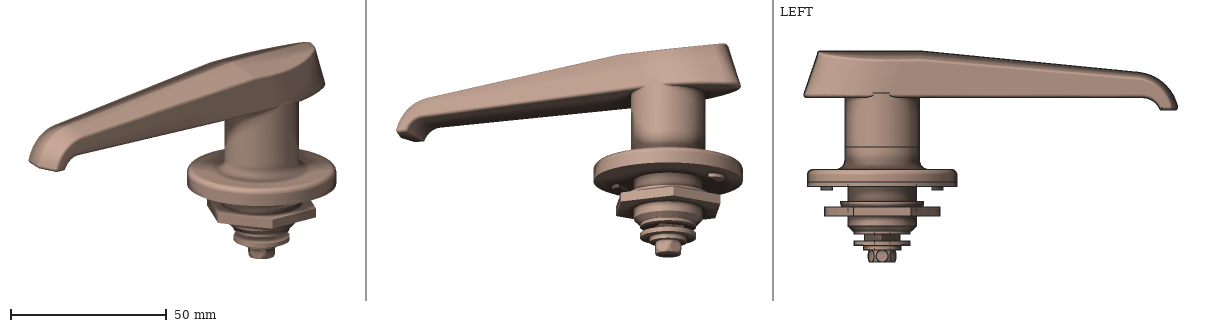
import cadquery as cq
import math


GASKET_THICKNESS = 1.4
FLANGE_RADIUS = 24.0
FLANGE_TOP = 5.5
FLANGE_ROUND = 1.8
NECK_RADIUS = 12.0
NECK_FILLET = 2.9
NECK_TOP = 12.7

BARREL_RADIUS = 11.0
BARREL_BOTTOM = -14.3
BARREL_CHAMFER = 1.7

LUG_RADIUS = 3.6
LUG_HEIGHT = 1.1
LUG_DISTANCE = 16.0

NUT_TOP = -6.5
NUT_THICKNESS = 3.0
NUT_ACROSS_FLATS = 32.0
LOCK_WASHER_RADIUS = 13.3
LOCK_WASHER_THICKNESS = 1.8
LOCK_WASHER_RIM = 0.7
LOCK_WASHER_TAPER = 0.2

COLLAR_RADIUS = 9.0
COLLAR_THICKNESS = 1.0
SQUARE_SIDE = 8.0
SPINDLE_BOTTOM = -17.4

WASHER_RADIUS = 9.0
WASHER_THICKNESS = 1.4
SPRING_WASHER_RADIUS = 6.0
SPRING_WASHER_THICKNESS = 1.4
SCREW_HEAD_HEIGHT = 4.0
SCREW_ACROSS_FLATS = 8.2
SCREW_FACET_RADIUS = 1.9
SHANK_RADIUS = 2.5
WASHER_BOTTOM = SPINDLE_BOTTOM - WASHER_THICKNESS
SCREW_HEAD_TOP = WASHER_BOTTOM - SPRING_WASHER_THICKNESS

SHARP_LENGTH = 120.6
UNDERSIDE = 28.5
RIDGE = 43.5
RIDGE_BEND_Y = -12.6
RIDGE_SLOPE = math.radians(5.6)
ROOF_SLOPE = math.radians(14)
TIP_CENTRE_Y = -80.8
TIP_RADIUS = 14.5
TIP_BOTTOM = 24.6
TIP_HOLLOW_RADIUS = 6.0
TIP_HOLLOW_START_Y = -83.6
NOSE_RADIUS = 5.8
NOSE_LEAN = 0.33
SIDE_LEAN = 0.24
SIDE_DRAFT = 0.02
WIDEST_HALF_WIDTH = 11.8
WIDEST_Y = -2.5
GRIP_TAPER = 0.052
RIM_ROUND = 1.0
NECK_OVERLAP = 1.4

SLOPE_COS = math.cos(RIDGE_SLOPE)
SLOPE_SIN = math.sin(RIDGE_SLOPE)
TIP_CENTRE_Z = RIDGE + ((TIP_CENTRE_Y - RIDGE_BEND_Y) * SLOPE_SIN - TIP_RADIUS) / SLOPE_COS


def tip_end_y(radius):
    """Y where a tip arc of this radius reaches the bottom of the tip."""
    return TIP_CENTRE_Y - math.sqrt(radius**2 - (TIP_BOTTOM - TIP_CENTRE_Z) ** 2)


NOSE_Y = tip_end_y(TIP_RADIUS) + SHARP_LENGTH
OVERRUN = 1.2
ON_CENTRE_PLANE = 0.01
FACING_UP_OR_DOWN = 0.5


def disc(radius, bottom, top):
    return cq.Workplane("XY").workplane(offset=bottom).circle(radius).extrude(top - bottom)


def hexagon(across_flats, bottom, top):
    """Hexagonal prism with two of its flats facing +X and -X."""
    corner_diameter = across_flats / math.cos(math.radians(30))
    prism = cq.Workplane("XY").workplane(offset=bottom).polygon(6, corner_diameter).extrude(top - bottom)
    return prism.rotate((0, 0, 0), (0, 0, 1), 30)


def wall_outline(z):
    """Pointed-arch outline of the handle walls at height z; it leans towards -Y as it rises."""
    rise = z - UNDERSIDE
    half_width = WIDEST_HALF_WIDTH - SIDE_DRAFT * rise
    side_y = WIDEST_Y - SIDE_LEAN * rise
    end_y = tip_end_y(TIP_RADIUS) - OVERRUN
    end_half_width = half_width - GRIP_TAPER * (side_y - end_y)

    nose_y = NOSE_Y - NOSE_LEAN * rise
    nose_centre = cq.Vector(0, nose_y - NOSE_RADIUS)
    side = cq.Vector(half_width, side_y)
    inward = cq.Vector(-1, GRIP_TAPER).normalized()
    reach = nose_centre - side
    side_radius = (reach.dot(reach) - NOSE_RADIUS**2) / (2 * (reach.dot(inward) - NOSE_RADIUS))
    side_centre = side + inward * side_radius
    seam = side_centre + (nose_centre - side_centre).normalized() * side_radius
    middle = side_centre + ((side + seam) * 0.5 - side_centre).normalized() * side_radius

    return (
        cq.Workplane("XY")
        .workplane(offset=z)
        .moveTo(end_half_width, end_y)
        .lineTo(side.x, side.y)
        .threePointArc((middle.x, middle.y), (seam.x, seam.y))
        .threePointArc((0, nose_y), (-seam.x, seam.y))
        .threePointArc((-middle.x, middle.y), (-side.x, side.y))
        .lineTo(-end_half_width, end_y)
        .close()
        .val()
    )


def side_profile(x):
    """Profile of the handle in the plane at x, its top edge lower the further it is from the ridge."""
    drop = x * math.tan(ROOF_SLOPE)
    radius = TIP_RADIUS - drop
    back_y = NOSE_Y + OVERRUN
    end_y = tip_end_y(radius)
    end_angle = math.atan2(TIP_BOTTOM - TIP_CENTRE_Z, end_y - TIP_CENTRE_Y)
    start_angle = math.pi / 2 + RIDGE_SLOPE
    middle_angle = (start_angle + end_angle) / 2

    def on_tip(angle):
        return (TIP_CENTRE_Y + radius * math.cos(angle), TIP_CENTRE_Z + radius * math.sin(angle))

    hollow_depth = UNDERSIDE - TIP_BOTTOM
    hollow_angle = math.acos(1 - hollow_depth / TIP_HOLLOW_RADIUS)
    hollow_centre_z = UNDERSIDE - TIP_HOLLOW_RADIUS

    def on_hollow(angle):
        return (
            TIP_HOLLOW_START_Y - TIP_HOLLOW_RADIUS * math.sin(angle),
            hollow_centre_z + TIP_HOLLOW_RADIUS * math.cos(angle),
        )

    return (
        cq.Workplane("YZ")
        .workplane(offset=x)
        .moveTo(back_y, RIDGE - drop)
        .lineTo(RIDGE_BEND_Y, RIDGE - drop)
        .lineTo(*on_tip(start_angle))
        .threePointArc(on_tip(middle_angle), (end_y, TIP_BOTTOM))
        .lineTo(*on_hollow(hollow_angle))
        .threePointArc(on_hollow(hollow_angle / 2), (TIP_HOLLOW_START_Y, UNDERSIDE))
        .lineTo(back_y, UNDERSIDE)
        .close()
        .val()
    )


def rim_edges(faces):
    """Edges that bound a group of faces: those belonging to only one face of the group."""
    edges = [edge for face in faces for edge in face.Edges()]
    return [edge for edge in edges if sum(edge.isSame(other) for other in edges) == 1]


def handle_grip():
    """Leaning walls under a ridged roof that curves down at the tip; rims and ridge are rounded."""
    walls = cq.Solid.makeLoft([wall_outline(TIP_BOTTOM - OVERRUN), wall_outline(RIDGE + OVERRUN)], True)
    half_roof = cq.Solid.makeLoft([side_profile(0), side_profile(WIDEST_HALF_WIDTH + OVERRUN)], True)
    roof = cq.Workplane(half_roof).union(cq.Workplane(half_roof.mirror("YZ")))
    grip = roof.intersect(cq.Workplane(walls)).val()

    roof_faces = [face for face in grip.Faces() if face.normalAt().z > FACING_UP_OR_DOWN]
    lower_faces = [face for face in grip.Faces() if face.normalAt().z < -FACING_UP_OR_DOWN]
    ridge_edges = [
        edge
        for edge in grip.Edges()
        if max(abs(edge.startPoint().x), abs(edge.endPoint().x)) < ON_CENTRE_PLANE
    ]
    return grip.fillet(RIM_ROUND, rim_edges(roof_faces) + rim_edges(lower_faces) + ridge_edges)


def make_handle():
    """Grip and the round neck under it, in one piece."""
    neck = disc(NECK_RADIUS, NECK_TOP, UNDERSIDE + NECK_OVERLAP)
    return neck.union(cq.Workplane(handle_grip()))


def make_housing():
    """Flange with a filleted neck above it and a chamfered barrel below it."""
    neck_fillet_centre = (NECK_RADIUS + NECK_FILLET, FLANGE_TOP + NECK_FILLET)
    rim_round_centre = (FLANGE_RADIUS - FLANGE_ROUND, FLANGE_TOP - FLANGE_ROUND)
    diagonal = math.sqrt(0.5)
    return (
        cq.Workplane("XZ")
        .moveTo(0, NECK_TOP)
        .lineTo(NECK_RADIUS, NECK_TOP)
        .lineTo(NECK_RADIUS, neck_fillet_centre[1])
        .threePointArc(
            (neck_fillet_centre[0] - NECK_FILLET * diagonal, neck_fillet_centre[1] - NECK_FILLET * diagonal),
            (neck_fillet_centre[0], FLANGE_TOP),
        )
        .lineTo(rim_round_centre[0], FLANGE_TOP)
        .threePointArc(
            (rim_round_centre[0] + FLANGE_ROUND * diagonal, rim_round_centre[1] + FLANGE_ROUND * diagonal),
            (FLANGE_RADIUS, rim_round_centre[1]),
        )
        .lineTo(FLANGE_RADIUS, GASKET_THICKNESS)
        .lineTo(BARREL_RADIUS, GASKET_THICKNESS)
        .lineTo(BARREL_RADIUS, BARREL_BOTTOM + BARREL_CHAMFER)
        .lineTo(BARREL_RADIUS - BARREL_CHAMFER, BARREL_BOTTOM)
        .lineTo(0, BARREL_BOTTOM)
        .close()
        .revolve(360, (0, 0, 0), (0, 1, 0))
    )


def make_gasket():
    """Ring under the flange with a half-round locating lug on its +Y and -Y sides."""
    gasket = disc(FLANGE_RADIUS, 0, GASKET_THICKNESS).cut(disc(BARREL_RADIUS, 0, GASKET_THICKNESS))
    for side in (1, -1):
        flat_y = side * LUG_DISTANCE
        lug = (
            cq.Workplane("XY")
            .moveTo(LUG_RADIUS, flat_y)
            .threePointArc((0, flat_y + side * LUG_RADIUS), (-LUG_RADIUS, flat_y))
            .close()
            .extrude(-LUG_HEIGHT)
        )
        gasket = gasket.union(lug)
    return gasket


def make_lock_washer():
    """Washer resting on the nut, with a rim that tapers slightly towards it."""
    top = NUT_TOP + LOCK_WASHER_THICKNESS
    return (
        cq.Workplane("XZ")
        .moveTo(BARREL_RADIUS, top)
        .lineTo(LOCK_WASHER_RADIUS, top)
        .lineTo(LOCK_WASHER_RADIUS, top - LOCK_WASHER_RIM)
        .lineTo(LOCK_WASHER_RADIUS - LOCK_WASHER_TAPER, NUT_TOP)
        .lineTo(BARREL_RADIUS, NUT_TOP)
        .close()
        .revolve(360, (0, 0, 0), (0, 1, 0))
    )


def make_nut():
    bottom = NUT_TOP - NUT_THICKNESS
    return hexagon(NUT_ACROSS_FLATS, bottom, NUT_TOP).cut(disc(BARREL_RADIUS, bottom, NUT_TOP))


def make_spindle():
    """Square shaft, its corners on the X and Y axes, under a round collar; drilled for the screw."""
    collar_bottom = BARREL_BOTTOM - COLLAR_THICKNESS
    collar = disc(COLLAR_RADIUS, collar_bottom, BARREL_BOTTOM)
    square = (
        cq.Workplane("XY")
        .workplane(offset=SPINDLE_BOTTOM)
        .transformed(rotate=(0, 0, 45))
        .rect(SQUARE_SIDE, SQUARE_SIDE)
        .extrude(collar_bottom - SPINDLE_BOTTOM)
    )
    return collar.union(square).cut(disc(SHANK_RADIUS, SPINDLE_BOTTOM, BARREL_BOTTOM))


def make_plain_washer(radius, bottom, top):
    return disc(radius, bottom, top).cut(disc(SHANK_RADIUS, bottom, top))


def make_screw():
    """Hexagon head with its corners rounded off by a sphere, and a shank up through the spindle."""
    head_bottom = SCREW_HEAD_TOP - SCREW_HEAD_HEIGHT
    head_middle = SCREW_HEAD_TOP - SCREW_HEAD_HEIGHT / 2
    sphere_radius = math.hypot(SCREW_ACROSS_FLATS / 2, SCREW_FACET_RADIUS)
    sphere = cq.Workplane("XY").sphere(sphere_radius).translate((0, 0, head_middle))
    head = hexagon(SCREW_ACROSS_FLATS, head_bottom, SCREW_HEAD_TOP).intersect(sphere)
    return head.union(disc(SHANK_RADIUS, SCREW_HEAD_TOP, BARREL_BOTTOM))


handle = make_handle()
housing = make_housing()
gasket = make_gasket()
lock_washer = make_lock_washer()
nut = make_nut()
spindle = make_spindle()
washer = make_plain_washer(WASHER_RADIUS, WASHER_BOTTOM, SPINDLE_BOTTOM)
spring_washer = make_plain_washer(SPRING_WASHER_RADIUS, SCREW_HEAD_TOP, WASHER_BOTTOM)
screw = make_screw()

bodies = [handle, housing, gasket, lock_washer, nut, spindle, washer, spring_washer, screw]
result = cq.Compound.makeCompound([body.val() for body in bodies])